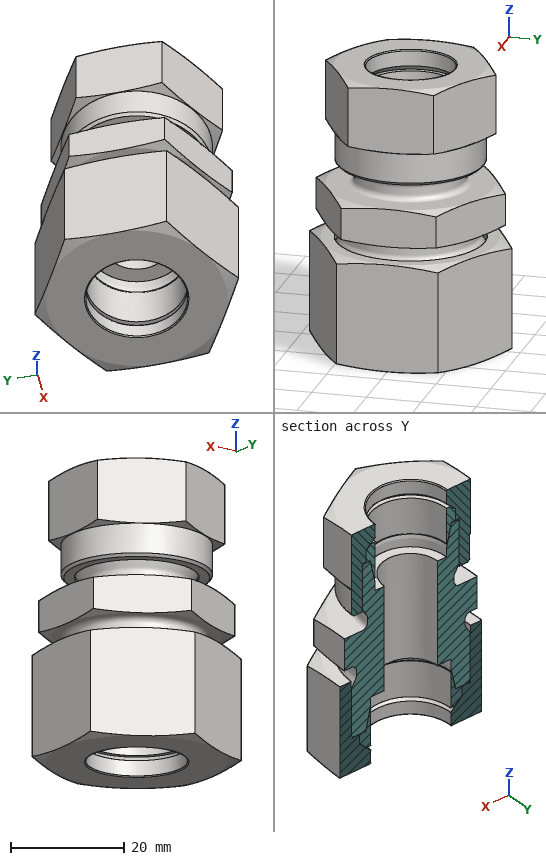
import cadquery as cq
import math

TOTAL_HEIGHT = 52.0
HEX_BOTTOM = 23.0
HEX_TOP = 30.0

BODY_FLATS = 30.0
BORE_DIA = 12.0
NECK_FILLET = 1.1
NECK_STRAIGHT = 1.25
NECK_CONE_ANGLE = 30.0
THREAD_CHAMFER = 0.5
SOCKET_CONE_ANGLE = 12.0
SOCKET_CONE_DEPTH = 5.2
TUBE_STOP_DEPTH = 7.0

UPPER_TUBE_DIA = 16.0
UPPER_THREAD_DIA = 22.0
UPPER_NECK_DIA = 19.7
UPPER_FERRULE_DIA = 20.0
UPPER_NUT_FLATS = 27.0
UPPER_NUT_HEIGHT = 18.0
UPPER_NUT_HEX_HEIGHT = 12.0
UPPER_COLLAR_DIA = 26.8
UPPER_COLLAR_CHAMFER = 0.5
UPPER_LENGTH = TOTAL_HEIGHT - HEX_TOP

LOWER_TUBE_DIA = 18.0
LOWER_THREAD_DIA = 27.0
LOWER_NECK_DIA = 24.7
LOWER_FERRULE_DIA = 23.0
LOWER_NUT_FLATS = 32.05
LOWER_NUT_HEIGHT = 20.0
LOWER_NUT_FACE_DIA = 31.7
LOWER_LENGTH = HEX_BOTTOM

HEX_CHAMFER_ANGLE = 15.0

MOUTH_CHAMFER = 0.2
LIP_DEPTH = 3.0
FERRULE_DEPTH = 3.95
BODY_END_DEPTH = 7.55
FERRULE_FRONT_LENGTH = 4.25


def turned(points):
    """Solid of revolution about Z from (radius, height) points."""
    return cq.Workplane("XZ").polyline(points).close().revolve(360, (0, 0), (0, 1))


def chamfered_hex(across_flats, bottom, top, bottom_face_dia, top_face_dia):
    """Hexagon with corners on the Y axis and conical chamfers that start at the two face circles."""
    corner_dia = across_flats / math.cos(math.radians(30))
    corner = corner_dia / 2
    slope = math.tan(math.radians(HEX_CHAMFER_ANGLE))
    bottom_drop = (corner - bottom_face_dia / 2) * slope
    top_drop = (corner - top_face_dia / 2) * slope
    prism = (
        cq.Workplane("XY")
        .workplane(offset=bottom)
        .polygon(6, corner_dia)
        .extrude(top - bottom)
        .rotate((0, 0, 0), (0, 0, 1), 30)
    )
    envelope = turned([
        (0, bottom),
        (bottom_face_dia / 2, bottom),
        (corner, bottom + bottom_drop),
        (corner, top - top_drop),
        (top_face_dia / 2, top),
        (0, top),
    ])
    return prism.intersect(envelope)


def at_upper_end(part):
    return part.translate((0, 0, HEX_TOP))


def at_lower_end(part):
    return part.rotate((0, 0, 0), (1, 0, 0), 180).translate((0, 0, HEX_BOTTOM))


def make_threaded_end(length, thread_dia, neck_dia):
    """Plain thread cylinder with an undercut neck that is rounded into the hexagon face."""
    end = length - BODY_END_DEPTH
    thread = thread_dia / 2
    neck = neck_dia / 2
    cone_angle = math.radians(NECK_CONE_ANGLE)
    neck_top = NECK_FILLET + NECK_STRAIGHT
    cone_start_radius = neck + NECK_FILLET * (1 - math.cos(cone_angle))
    cone_start_height = neck_top + NECK_FILLET * math.sin(cone_angle)
    cone_end_height = cone_start_height + (thread - cone_start_radius) / math.tan(cone_angle)
    fillet_inset = NECK_FILLET * (1 - math.sqrt(0.5))
    return (
        cq.Workplane("XZ")
        .moveTo(0, 0)
        .lineTo(neck + NECK_FILLET, 0)
        .threePointArc((neck + fillet_inset, fillet_inset), (neck, NECK_FILLET))
        .lineTo(neck, neck_top)
        .tangentArcPoint((cone_start_radius, cone_start_height), relative=False)
        .lineTo(thread, cone_end_height)
        .lineTo(thread, end - THREAD_CHAMFER)
        .lineTo(thread - THREAD_CHAMFER, end)
        .lineTo(0, end)
        .close()
        .revolve(360, (0, 0), (0, 1))
    )


def socket_mouth_radius(tube_dia):
    return tube_dia / 2 + SOCKET_CONE_DEPTH * math.tan(math.radians(SOCKET_CONE_ANGLE))


def make_tube_socket(length, tube_dia):
    """Cutter for the tube seat and the cone that receives the ferrule."""
    end = length - BODY_END_DEPTH
    tube = tube_dia / 2
    return turned([
        (0, end - TUBE_STOP_DEPTH),
        (tube, end - TUBE_STOP_DEPTH),
        (tube, end - SOCKET_CONE_DEPTH),
        (socket_mouth_radius(tube_dia), end),
        (0, end),
    ])


def make_body():
    body = chamfered_hex(BODY_FLATS, HEX_BOTTOM, HEX_TOP, BODY_FLATS, BODY_FLATS)
    body = body.union(at_upper_end(make_threaded_end(UPPER_LENGTH, UPPER_THREAD_DIA, UPPER_NECK_DIA)))
    body = body.union(at_lower_end(make_threaded_end(LOWER_LENGTH, LOWER_THREAD_DIA, LOWER_NECK_DIA)))
    body = body.cut(at_upper_end(make_tube_socket(UPPER_LENGTH, UPPER_TUBE_DIA)))
    body = body.cut(at_lower_end(make_tube_socket(LOWER_LENGTH, LOWER_TUBE_DIA)))
    bore = cq.Workplane("XY").circle(BORE_DIA / 2).extrude(TOTAL_HEIGHT)
    return body.cut(bore)


def make_ferrule(length, tube_dia, ferrule_dia):
    """Cutting ring: 45 degree back against the nut, slim front cone in the body's socket."""
    tube = tube_dia / 2
    outer = ferrule_dia / 2
    body_end = length - BODY_END_DEPTH
    back = length - FERRULE_DEPTH
    back_radius = tube + FERRULE_DEPTH - LIP_DEPTH
    mouth = socket_mouth_radius(tube_dia)
    front_radius = mouth - FERRULE_FRONT_LENGTH * math.tan(math.radians(SOCKET_CONE_ANGLE))
    front = body_end - FERRULE_FRONT_LENGTH
    return turned([
        (tube, front),
        (front_radius, front),
        (mouth, body_end),
        (outer, body_end),
        (outer, back - (outer - back_radius)),
        (back_radius, back),
        (tube, back),
    ])


def make_nut_cavity(length, nut_height, tube_dia, thread_dia, ferrule_dia):
    """Cutter for the thread bore, ferrule seat with 45 degree cone, and chamfered tube hole."""
    tube = tube_dia / 2
    thread = thread_dia / 2
    seat = ferrule_dia / 2
    body_end = length - BODY_END_DEPTH
    lip = length - LIP_DEPTH
    bottom = length - nut_height
    return turned([
        (0, bottom),
        (thread, bottom),
        (thread, body_end),
        (seat, body_end),
        (seat, lip - (seat - tube)),
        (tube, lip),
        (tube, length - MOUTH_CHAMFER),
        (tube + MOUTH_CHAMFER, length),
        (0, length),
    ])


def make_upper_nut():
    """Hexagon nut with a round collar on its inner end."""
    bottom = UPPER_LENGTH - UPPER_NUT_HEIGHT
    hex_bottom = UPPER_LENGTH - UPPER_NUT_HEX_HEIGHT
    hexagon = chamfered_hex(UPPER_NUT_FLATS, hex_bottom, UPPER_LENGTH, UPPER_NUT_FLATS, UPPER_NUT_FLATS)
    collar = (
        cq.Workplane("XY")
        .workplane(offset=bottom)
        .circle(UPPER_COLLAR_DIA / 2)
        .extrude(hex_bottom - bottom)
        .faces("<Z")
        .chamfer(UPPER_COLLAR_CHAMFER)
    )
    cavity = make_nut_cavity(
        UPPER_LENGTH, UPPER_NUT_HEIGHT, UPPER_TUBE_DIA, UPPER_THREAD_DIA, UPPER_FERRULE_DIA
    )
    return hexagon.union(collar).cut(cavity)


def make_lower_nut():
    """Plain hexagon nut, chamfered more deeply on its inner end."""
    bottom = LOWER_LENGTH - LOWER_NUT_HEIGHT
    hexagon = chamfered_hex(LOWER_NUT_FLATS, bottom, LOWER_LENGTH, LOWER_NUT_FACE_DIA, LOWER_NUT_FLATS)
    cavity = make_nut_cavity(
        LOWER_LENGTH, LOWER_NUT_HEIGHT, LOWER_TUBE_DIA, LOWER_THREAD_DIA, LOWER_FERRULE_DIA
    )
    return hexagon.cut(cavity)


body = make_body()
upper_nut = at_upper_end(make_upper_nut())
lower_nut = at_lower_end(make_lower_nut())
upper_ferrule = at_upper_end(make_ferrule(UPPER_LENGTH, UPPER_TUBE_DIA, UPPER_FERRULE_DIA))
lower_ferrule = at_lower_end(make_ferrule(LOWER_LENGTH, LOWER_TUBE_DIA, LOWER_FERRULE_DIA))

result = cq.Compound.makeCompound([
    body.val(),
    upper_nut.val(),
    lower_nut.val(),
    upper_ferrule.val(),
    lower_ferrule.val(),
])